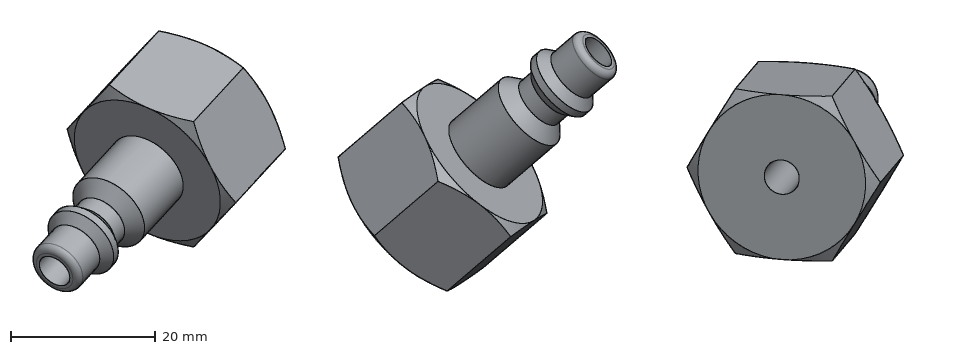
import cadquery as cq
import math

ACROSS_FLATS = 24.0
HEAD_SIDES = 6
ACROSS_CORNERS = ACROSS_FLATS / math.cos(math.pi / HEAD_SIDES)
HEAD_LENGTH = 15.0
CHAMFER_ANGLE = 30.0

SHANK_DIAMETER = 11.8
NECK_DIAMETER = 7.8
COLLAR_DIAMETER = 10.8
TIP_DIAMETER = 8.0
BORE_DIAMETER = 5.0
SHANK_LENGTH = 10.0
SHOULDER_LENGTH = (SHANK_DIAMETER - NECK_DIAMETER) / 2
NECK_LENGTH = 2.5
COLLAR_RISE = (COLLAR_DIAMETER - NECK_DIAMETER) / 2
COLLAR_LENGTH = 1.2
COLLAR_FALL = (COLLAR_DIAMETER - TIP_DIAMETER) / 2
TOTAL_LENGTH = 39.0
TIP_FILLET = 1.0


def make_head():
    """Hexagonal prism, corners on the X axis, coned off at both ends."""
    prism = (
        cq.Workplane("XZ")
        .polygon(HEAD_SIDES, ACROSS_CORNERS)
        .extrude(-HEAD_LENGTH)
    )
    flat_radius = ACROSS_FLATS / 2
    corner_radius = ACROSS_CORNERS / 2
    chamfer_depth = (corner_radius - flat_radius) * math.tan(math.radians(CHAMFER_ANGLE))
    envelope = (
        cq.Workplane("XY")
        .moveTo(0, 0)
        .lineTo(flat_radius, 0)
        .lineTo(corner_radius, chamfer_depth)
        .lineTo(corner_radius, HEAD_LENGTH - chamfer_depth)
        .lineTo(flat_radius, HEAD_LENGTH)
        .lineTo(0, HEAD_LENGTH)
        .close()
        .revolve(360, (0, 0, 0), (0, 1, 0))
    )
    return prism.intersect(envelope)


def make_stem():
    """Turned plug profile revolved about the Y axis."""
    shank_end = -SHANK_LENGTH
    neck_start = shank_end - SHOULDER_LENGTH
    neck_end = neck_start - NECK_LENGTH
    collar_start = neck_end - COLLAR_RISE
    collar_end = collar_start - COLLAR_LENGTH
    tip_start = collar_end - COLLAR_FALL
    tip_end = HEAD_LENGTH - TOTAL_LENGTH
    stem = (
        cq.Workplane("XY")
        .moveTo(0, 0)
        .lineTo(SHANK_DIAMETER / 2, 0)
        .lineTo(SHANK_DIAMETER / 2, shank_end)
        .lineTo(NECK_DIAMETER / 2, neck_start)
        .lineTo(NECK_DIAMETER / 2, neck_end)
        .lineTo(COLLAR_DIAMETER / 2, collar_start)
        .lineTo(COLLAR_DIAMETER / 2, collar_end)
        .lineTo(TIP_DIAMETER / 2, tip_start)
        .lineTo(TIP_DIAMETER / 2, tip_end)
        .lineTo(0, tip_end)
        .close()
        .revolve(360, (0, 0, 0), (0, 1, 0))
    )
    return stem.faces("<Y").edges().fillet(TIP_FILLET)


def make_bore():
    """Cylinder that opens the passage through the whole part."""
    return (
        cq.Workplane("XZ", origin=(0, HEAD_LENGTH, 0))
        .circle(BORE_DIAMETER / 2)
        .extrude(TOTAL_LENGTH)
    )


result = make_head().union(make_stem()).cut(make_bore())